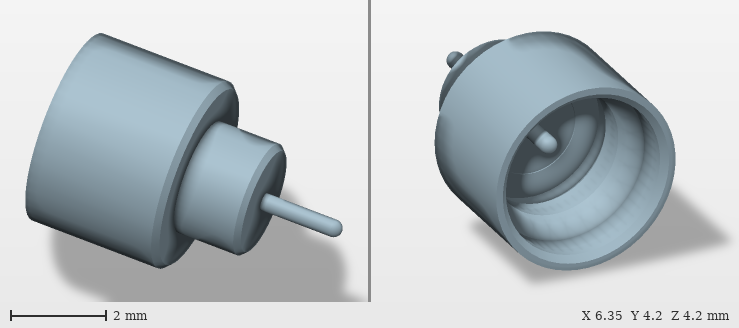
import cadquery as cq
import math

total_length = 6.35
shell_length = 3.05
neck_end = 4.54

shell_diameter = 4.2
shell_radius = shell_diameter / 2
neck_radius = 1.25
pin_radius = 0.19
outer_chamfer = 0.135
neck_chamfer = 0.12

mouth_radius = 1.94
entry_radius = 1.805
seat_radius = 1.47
mouth_chamfer_depth = mouth_radius - entry_radius
entry_depth = 0.88
taper_end = 1.435

groove_radius = 1.56
groove_start = 2.025
groove_flare_end = 2.21
floor_depth = 2.54

recess_radius = 1.015
recess_depth = 0.03

pin_start = 1.59


def make_shell():
    """Stepped outer body with its socket, revolved about the X axis."""
    profile = (
        cq.Workplane("XY")
        .moveTo(0, mouth_radius)
        .lineTo(0, shell_radius)
        .lineTo(shell_length - outer_chamfer, shell_radius)
        .lineTo(shell_length, shell_radius - outer_chamfer)
        .lineTo(shell_length, neck_radius)
        .lineTo(neck_end - neck_chamfer, neck_radius)
        .lineTo(neck_end, neck_radius - neck_chamfer)
        .lineTo(neck_end, 0)
        .lineTo(floor_depth + recess_depth, 0)
        .lineTo(floor_depth + recess_depth, recess_radius)
        .lineTo(floor_depth, recess_radius)
        .lineTo(floor_depth, groove_radius)
        .lineTo(groove_flare_end, groove_radius)
        .lineTo(groove_start, seat_radius)
        .lineTo(taper_end, seat_radius)
        .lineTo(entry_depth, entry_radius)
        .lineTo(mouth_chamfer_depth, entry_radius)
        .close()
    )
    return profile.revolve(360, (0, 0, 0), (1, 0, 0))


def make_pin():
    """Centre pin with a hemispherical tip at each end."""
    arc_rise = pin_radius * math.sqrt(0.5)
    arc_inset = pin_radius - arc_rise
    profile = (
        cq.Workplane("XY")
        .moveTo(pin_start, 0)
        .threePointArc((pin_start + arc_inset, arc_rise), (pin_start + pin_radius, pin_radius))
        .lineTo(total_length - pin_radius, pin_radius)
        .threePointArc((total_length - arc_inset, arc_rise), (total_length, 0))
        .close()
    )
    return profile.revolve(360, (0, 0, 0), (1, 0, 0))


result = make_shell().union(make_pin())